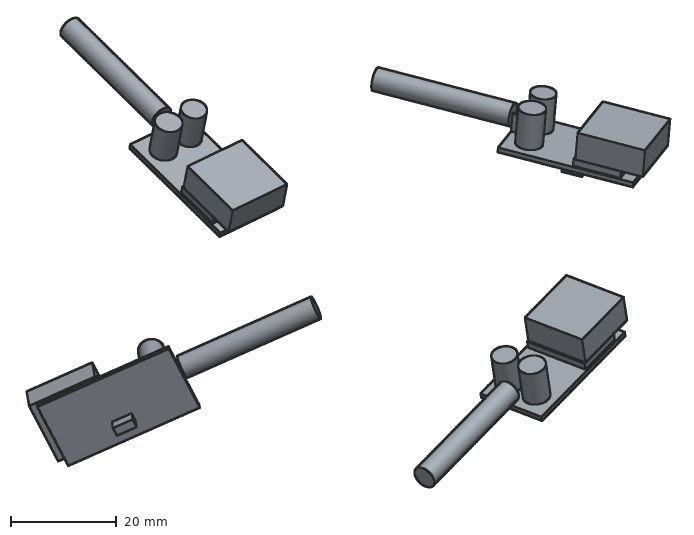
import cadquery as cq

board_length = 27.5
board_width = 14.2
board_thickness = 1.0

rod_diameter = 4.6
rod_length = 27.9
rod_axis_height = 3.55

pin_length = 1.0
pin_width = 0.5
pin_height = 3.9

can_height = 7.7
cans = [(5.0, 4.45, 3.65), (5.3, 4.6, -2.7)]

plate_start = 15.1
plate_length = 9.65
plate_width = 13.4
plate_height = 1.5
block_start = 15.4
block_length = 13.7
block_width = 13.35
block_height = 5.8

connector_start = 12.05
connector_length = 4.1
connector_width = 1.8
connector_depth = 2.45
connector_y = -3.2

pitch_angle = 1.3
roll_angle = -8.7


def box_at(x_start, y_center, z_bottom, length, width, height):
    """Box given by its start in X, its centre in Y and its bottom in Z."""
    box = cq.Workplane("XY").box(length, width, height, centered=(False, True, False))
    return box.translate((x_start, y_center, z_bottom))


assembly = box_at(0, 0, -board_thickness, board_length, board_width, board_thickness)

rod = cq.Workplane("YZ").center(0, rod_axis_height).circle(rod_diameter / 2).extrude(-rod_length)
pin = box_at(0, 0, 0, pin_length, pin_width, pin_height)
assembly = assembly.union(rod).union(pin)

for diameter, x, y in cans:
    can = cq.Workplane("XY").center(x, y).circle(diameter / 2).extrude(can_height)
    assembly = assembly.union(can)

plate = box_at(plate_start, 0, 0, plate_length, plate_width, plate_height)
block = box_at(block_start, 0, plate_height, block_length, block_width, block_height)
assembly = assembly.union(plate).union(block)

connector_bottom = -board_thickness - connector_depth
connector = box_at(
    connector_start, connector_y, connector_bottom, connector_length, connector_width, connector_depth
)
assembly = assembly.union(connector)

result = assembly.rotate((0, 0, 0), (0, 1, 0), pitch_angle).rotate((0, 0, 0), (1, 0, 0), roll_angle)